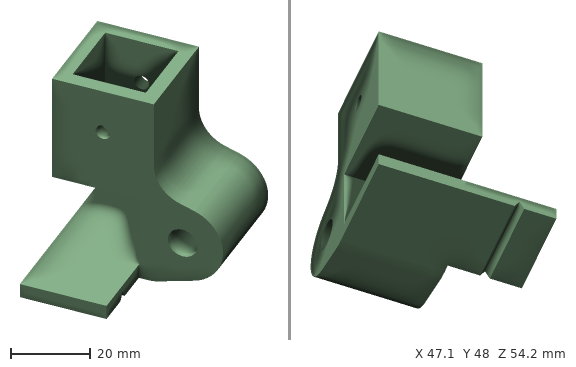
import cadquery as cq
import math

SOCKET_SIDE = 28.0
BORE_SIDE = 20.15
FLOOR_THICKNESS = 4.0
TOTAL_HEIGHT = 54.2
TOTAL_LENGTH = 47.1
PIN_HOLE_DIAMETER = 4.0
PIN_HOLE_Z = 41.75

PLATE_THICKNESS = 4.0
PLATE_REACH = 20.0
GAP_HEIGHT = 20.15
SOCKET_BOTTOM = PLATE_THICKNESS + GAP_HEIGHT
PLATE_WIDTH = 23.9
GROOVE_DEPTH = 2.3
GROOVE_ANGLE = 60.0
GROOVE_FROM_FRONT = 9.95

EAR_RADIUS = 11.1
PIVOT_X = TOTAL_LENGTH - EAR_RADIUS
PIVOT_Z = 14.05
PIVOT_DIAMETER = 8.15
FLANK_ANGLE = math.radians(16.8)
FILLET_RADIUS = 10.0


def block(x_size, y_size, z_size, corner):
    return cq.Workplane("XY").box(x_size, y_size, z_size, centered=False).translate(corner)


def cross_hole(x, z, diameter):
    """Cylinder along Y through the full depth of the socket."""
    return cq.Workplane("XZ").center(x, z).circle(diameter / 2).extrude(-SOCKET_SIDE)


def point_on_arc(center, radius, angle):
    return (center[0] + radius * math.cos(angle), center[1] + radius * math.sin(angle))


def make_ear():
    """Web and ear, with straight flanks tangent to the rounded end and to both fillets."""
    pivot = (PIVOT_X, PIVOT_Z)
    normal = math.pi / 2 - FLANK_ANGLE

    upper_x = SOCKET_SIDE + FILLET_RADIUS
    center_offset = EAR_RADIUS + FILLET_RADIUS
    upper_z = PIVOT_Z + (center_offset - (upper_x - PIVOT_X) * math.cos(normal)) / math.sin(normal)
    upper = (upper_x, upper_z)

    inner_offset = EAR_RADIUS - FILLET_RADIUS
    lower_z = FILLET_RADIUS
    lower_x = PIVOT_X + (inner_offset - (PIVOT_Z - lower_z) * math.sin(normal)) / math.cos(normal)
    lower = (lower_x, lower_z)

    outline = (
        cq.Workplane("XZ")
        .moveTo(PLATE_WIDTH, 0)
        .lineTo(lower_x, 0)
        .threePointArc(
            point_on_arc(lower, FILLET_RADIUS, -(math.pi / 2 + normal) / 2),
            point_on_arc(lower, FILLET_RADIUS, -normal),
        )
        .lineTo(*point_on_arc(pivot, EAR_RADIUS, -normal))
        .threePointArc(
            point_on_arc(pivot, EAR_RADIUS, 0),
            point_on_arc(pivot, EAR_RADIUS, normal),
        )
        .lineTo(*point_on_arc(upper, FILLET_RADIUS, normal + math.pi))
        .threePointArc(
            point_on_arc(upper, FILLET_RADIUS, math.pi + normal / 2),
            (SOCKET_SIDE, upper_z),
        )
        .lineTo(PLATE_WIDTH, upper_z)
        .close()
    )
    return outline.extrude(-SOCKET_SIDE)


def make_socket():
    """Outer block of the socket, and the blind square bore to cut from the body."""
    height = TOTAL_HEIGHT - SOCKET_BOTTOM
    wall = (SOCKET_SIDE - BORE_SIDE) / 2
    outer = block(SOCKET_SIDE, SOCKET_SIDE, height, (0, 0, SOCKET_BOTTOM))
    floor_top = SOCKET_BOTTOM + FLOOR_THICKNESS
    bore = block(BORE_SIDE, BORE_SIDE, TOTAL_HEIGHT - floor_top, (wall, wall, floor_top))
    return outer, bore


def make_plate():
    """Plate with a V groove across its underside."""
    plate = block(PLATE_WIDTH, SOCKET_SIDE + PLATE_REACH, PLATE_THICKNESS, (0, -PLATE_REACH, 0))
    groove_y = GROOVE_FROM_FRONT - PLATE_REACH
    half_width = GROOVE_DEPTH * math.tan(math.radians(GROOVE_ANGLE / 2))
    groove = (
        cq.Workplane("YZ")
        .polyline([(groove_y - half_width, 0), (groove_y, GROOVE_DEPTH), (groove_y + half_width, 0)])
        .close()
        .extrude(PLATE_WIDTH)
    )
    return plate.cut(groove)


socket, socket_bore = make_socket()
body = socket.union(make_ear()).union(make_plate()).cut(socket_bore)
pivot_hole = cross_hole(PIVOT_X, PIVOT_Z, PIVOT_DIAMETER)
pin_hole = cross_hole(SOCKET_SIDE / 2, PIN_HOLE_Z, PIN_HOLE_DIAMETER)
result = body.cut(pivot_hole).cut(pin_hole)